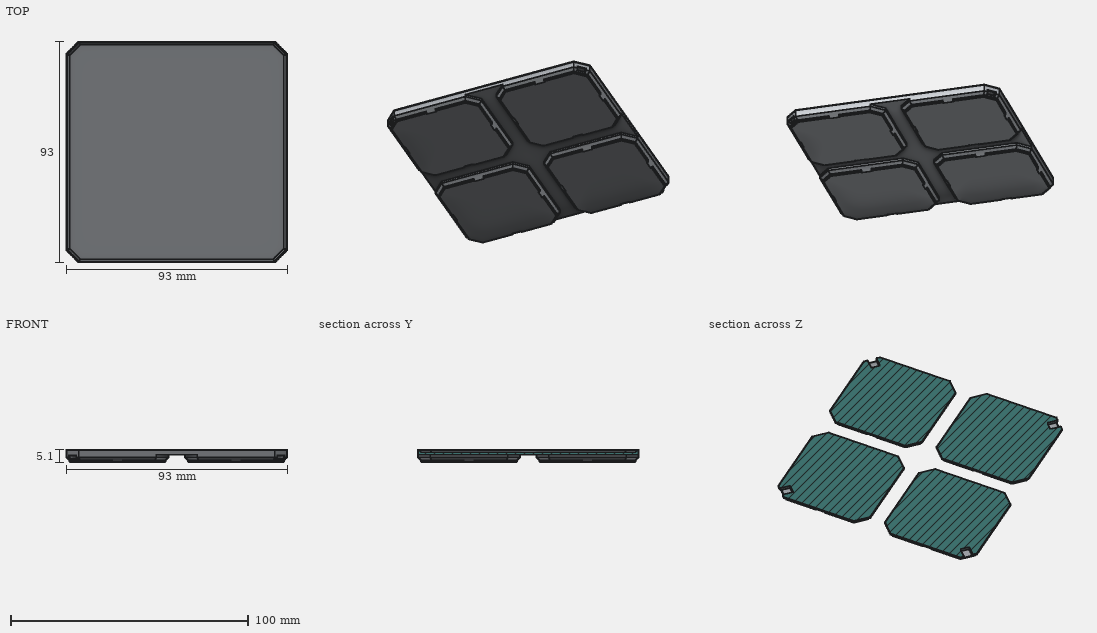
import cadquery as cq

side = 93.0
height = 5.1
corner_cut = 5.2

channel_width = 6.8
channel_top = 3.1
foot_side = (side - channel_width) / 2
foot_pitch = foot_side + channel_width

lower_chamfer = 0.4
neck_height = 0.5
upper_chamfer = 1.2
taper_top = lower_chamfer + neck_height + upper_chamfer

relief_width = 4.3

rim_width = 0.5
recess_inset = 1.4
recess_depth = recess_inset - rim_width

slot_width = 4.3
slot_bottom = 1.1
slot_top = 3.0
slot_depth = 4.65
slot_lead_in = 0.3

OVERLAP = 0.9


def cut_square(full_side, full_cut, inset):
    """Square with cut corners, all eight sides moved inward by inset."""
    inset_side = full_side - 2 * inset
    leg = full_cut - (2 - 2**0.5) * inset
    return cq.Sketch().rect(inset_side, inset_side).vertices().chamfer(leg)


def cut_square_loft(full_side, full_cut, bottom_z, bottom_inset, top_z, top_inset):
    """Tapered block between two insets of the same cut-corner square."""
    lower = cut_square(full_side, full_cut, bottom_inset)
    upper = cut_square(full_side, full_cut, top_inset)
    upper = upper.moved(cq.Location(cq.Vector(0, 0, top_z - bottom_z)))
    return cq.Workplane("XY").workplane(offset=bottom_z).placeSketch(lower, upper).loft()


def cut_square_prism(full_side, full_cut, bottom_z, top_z, inset=0.0):
    outline = cut_square(full_side, full_cut, inset)
    return cq.Workplane("XY").workplane(offset=bottom_z).placeSketch(outline).extrude(top_z - bottom_z)


def make_foot():
    neck_bottom = lower_chamfer
    neck_top = lower_chamfer + neck_height
    foot_inset = upper_chamfer + lower_chamfer
    foot = cut_square_loft(foot_side, corner_cut, 0, foot_inset, neck_bottom, upper_chamfer)
    foot = foot.union(cut_square_prism(foot_side, corner_cut, neck_bottom, neck_top, upper_chamfer))
    foot = foot.union(cut_square_loft(foot_side, corner_cut, neck_top, upper_chamfer, taper_top, 0))
    foot = foot.union(cut_square_prism(foot_side, corner_cut, taper_top, channel_top))

    half = foot_side / 2
    relief = (
        cq.Workplane("XZ")
        .polyline([(half, taper_top), (half - taper_top, 0), (half, 0)])
        .close()
        .extrude(relief_width / 2, both=True)
    )
    for turn in range(4):
        foot = foot.cut(relief.rotate((0, 0, 0), (0, 0, 1), 90 * turn))
    return foot


def make_recess():
    floor_z = height - recess_depth
    return cut_square_loft(side, corner_cut, floor_z, recess_inset, height, rim_width)


def make_corner_slot():
    """Bevelled slot running inward from a corner face, along +X before it is turned to a diagonal."""
    face_distance = (side - corner_cut) / 2**0.5
    slot_height = slot_top - slot_bottom
    throat_width = slot_width - 2 * slot_lead_in
    throat_height = slot_height - 2 * slot_lead_in

    mouth = cq.Sketch().rect(slot_width, slot_height)
    throat = cq.Sketch().rect(throat_width, throat_height)
    throat = throat.moved(cq.Location(cq.Vector(0, 0, -slot_lead_in)))
    slot_plane = cq.Workplane("YZ", origin=(face_distance, 0, (slot_bottom + slot_top) / 2))
    lead_in = slot_plane.placeSketch(mouth, throat).loft()

    outside = slot_plane.rect(slot_width, slot_height).extrude(OVERLAP)
    passage = slot_plane.rect(throat_width, throat_height).extrude(-slot_depth)
    return passage.union(lead_in).union(outside)


result = cut_square_prism(side, corner_cut, channel_top, height)

foot = make_foot()
for x_sign in (-1, 1):
    for y_sign in (-1, 1):
        result = result.union(foot.translate((x_sign * foot_pitch / 2, y_sign * foot_pitch / 2, 0)))

result = result.cut(make_recess())

corner_slot = make_corner_slot()
for turn in range(4):
    result = result.cut(corner_slot.rotate((0, 0, 0), (0, 0, 1), 45 + 90 * turn))